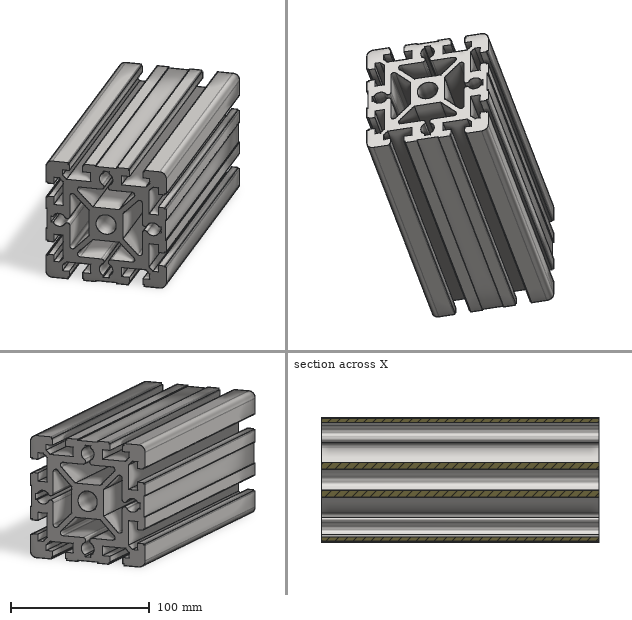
import cadquery as cq
import math

side = 90.0
length = 200.0
half_side = side / 2
corner_radius = 5.0

slot_center = side / 4
slot_mouth = 10.0
lip_thickness = 6.0
step_width = 0.8
step_depth = 1.5
lip_round = 0.5
slot_depth = 13.0
slot_inner_reach = 11.0
slot_outer_reach = 10.0
slot_corner_chamfer = 3.0

recess_width = 15.5
recess_depth = 0.8

chamber_outer = 27.0
chamber_inner = 12.5
diagonal_web = 4.0
chamber_radius = 2.0

channel_center = 35.0
channel_radius = 5.0
neck_width = 3.2
notch_width = 4.5
notch_top = 41.0

core_bore_diameter = 15.0


def sketch():
    """Work plane at the +Y end face, with local axes along X and Z."""
    return cq.Workplane("XZ", origin=(0, length / 2, 0))


def block(x_min, x_max, z_min, z_max):
    """Full-length rectangular bar between the given limits."""
    bar = cq.Workplane("XY").box(x_max - x_min, length, z_max - z_min)
    return bar.translate(((x_min + x_max) / 2, 0, (z_min + z_max) / 2))


def slot_mouth_half():
    """Right half of the slot mouth, widened by a step with both lip edges rounded."""
    wall = slot_mouth / 2
    step_wall = wall + step_width
    step_floor = half_side - step_depth
    return (
        sketch()
        .center(slot_center, 0)
        .moveTo(0, half_side)
        .lineTo(step_wall + lip_round, half_side)
        .radiusArc((step_wall, half_side - lip_round), -lip_round)
        .lineTo(step_wall, step_floor)
        .lineTo(wall + lip_round, step_floor)
        .radiusArc((wall, step_floor - lip_round), -lip_round)
        .lineTo(wall, half_side - lip_thickness)
        .lineTo(0, half_side - lip_thickness)
        .close()
        .extrude(length)
    )


def slot():
    """T-slot in the top side, right of the middle."""
    mouth_right = slot_mouth_half()
    mouth_left = mouth_right.mirror("YZ", (slot_center, 0, 0))
    lip_bottom = half_side - lip_thickness
    floor = half_side - slot_depth
    inner = slot_center - slot_inner_reach
    outer = slot_center + slot_outer_reach
    cavity = (
        sketch()
        .moveTo(inner, lip_bottom)
        .lineTo(inner, floor)
        .lineTo(outer - slot_corner_chamfer, floor)
        .lineTo(outer, floor + slot_corner_chamfer)
        .lineTo(outer, lip_bottom)
        .close()
        .extrude(length)
    )
    return cavity.union(mouth_right).union(mouth_left)


def chamber():
    """Trapezoid chamber above the core block, rounded at its two sharp corners."""
    web_offset = diagonal_web / math.sqrt(2)
    outer_half = chamber_outer - web_offset
    inner_half = chamber_inner - web_offset
    return (
        sketch()
        .moveTo(-outer_half, chamber_outer)
        .lineTo(outer_half, chamber_outer)
        .lineTo(inner_half, chamber_inner)
        .lineTo(-inner_half, chamber_inner)
        .close()
        .extrude(length)
        .edges("|Y and >Z")
        .fillet(chamber_radius)
    )


def channel():
    """Round screw channel with its top notch and its neck into the chamber."""
    bore = sketch().center(0, channel_center).circle(channel_radius).extrude(length)
    notch = block(-notch_width / 2, notch_width / 2, channel_center, notch_top)

    gap = neck_width / 2
    rise = channel_center - chamber_outer
    linear_term = gap - rise - channel_radius
    constant_term = gap**2 + rise**2 - channel_radius**2
    neck_radius = -linear_term - math.sqrt(linear_term**2 - constant_term)
    round_x = gap + neck_radius
    round_z = chamber_outer + neck_radius
    touch = channel_radius / (channel_radius + neck_radius)
    touch_x = round_x * touch
    touch_z = channel_center + (round_z - channel_center) * touch
    neck = (
        sketch()
        .moveTo(-round_x, chamber_outer)
        .lineTo(round_x, chamber_outer)
        .threePointArc((gap, round_z), (touch_x, touch_z))
        .lineTo(-touch_x, touch_z)
        .threePointArc((-gap, round_z), (-round_x, chamber_outer))
        .close()
        .extrude(length)
    )
    return bore.union(notch).union(neck)


def side_cutter():
    """Everything removed from the top quarter of the profile."""
    right_slot = slot()
    left_slot = right_slot.mirror("YZ")
    recess = block(-recess_width / 2, recess_width / 2, half_side - recess_depth, half_side)
    return chamber().union(channel()).union(right_slot).union(left_slot).union(recess)


body = cq.Workplane("XY").box(side, length, side).edges("|Y").fillet(corner_radius)
body = body.cut(sketch().circle(core_bore_diameter / 2).extrude(length))

cutter = side_cutter()
for quarter_turn in range(4):
    body = body.cut(cutter.rotate((0, 0, 0), (0, 1, 0), 90 * quarter_turn))

result = body